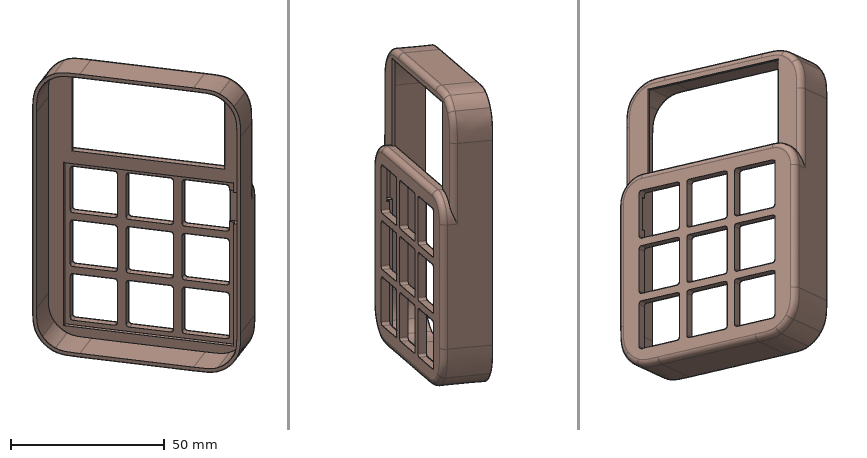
import cadquery as cq
import math


width = 70.6
height = 100.0
wall = 1.3
body_depth = 14.1
total_depth = 17.5
front_skin = 1.0
floor_y = body_depth - front_skin
edge_fillet = 2.0

corner_radius = 12.0
top_blend_length = 16.0
side_blend_length = 15.3
top_arc_angle = math.radians(23.6)
side_arc_angle = math.radians(36.0)
blend_handle = 0.72

window_width = 51.8
window_height = 29.6
window_bottom = 16.7

raised_top = window_bottom
raised_corner_radius = 9.3

keypad_z = -16.6
recess_size = 57.6
recess_depth = 1.5
key_count = 3
key_pitch = 19.0
key_width = 16.0
key_height = 16.4
key_corner_radius = 1.0

notch_right = 31.2
notch_top = 8.9
notch_height = 11.1
notch_depth = 2.5


def block(x_min, x_max, y_min, y_max, z_min, z_max):
    """Axis-aligned box given by its limits."""
    size = (x_max - x_min, y_max - y_min, z_max - z_min)
    return cq.Workplane("XY").box(*size, centered=False).translate((x_min, y_min, z_min))


def corner_edges(sign_x, sign_z, offset):
    """Edges of one smoothed corner, from the horizontal to the vertical side."""

    def point(inset_x, inset_z):
        return cq.Vector(sign_x * (width / 2 - inset_x), 0, sign_z * (height / 2 - inset_z))

    def on_arc(angle):
        radius = corner_radius - offset
        return (
            corner_radius - radius * math.sin(angle),
            corner_radius - radius * math.cos(angle),
        )

    arc_end_angle = math.pi / 2 - side_arc_angle
    start = on_arc(top_arc_angle)
    middle = on_arc((top_arc_angle + arc_end_angle) / 2)
    end = on_arc(arc_end_angle)
    top_tangent = start[0] + (start[1] - offset) / math.tan(top_arc_angle)
    side_tangent = end[1] + (end[0] - offset) / math.tan(side_arc_angle)

    top_blend = cq.Edge.makeBezier([
        point(top_blend_length, offset),
        point(top_blend_length * blend_handle, offset),
        point(top_tangent, offset),
        point(*start),
    ])
    arc = cq.Edge.makeThreePointArc(point(*start), point(*middle), point(*end))
    side_blend = cq.Edge.makeBezier([
        point(*end),
        point(offset, side_tangent),
        point(offset, side_blend_length * blend_handle),
        point(offset, side_blend_length),
    ])
    return [top_blend, arc, side_blend]


def outline_prism(depth, offset=0):
    """Prism from Y = 0 to the given depth, its outline moved inwards by the offset."""
    flat_x = width / 2 - top_blend_length
    flat_z = height / 2 - side_blend_length
    side_x = width / 2 - offset
    side_z = height / 2 - offset
    edges = []
    for sign in (-1, 1):
        edges.append(cq.Edge.makeLine(cq.Vector(-flat_x, 0, sign * side_z),
                                      cq.Vector(flat_x, 0, sign * side_z)))
        edges.append(cq.Edge.makeLine(cq.Vector(sign * side_x, 0, -flat_z),
                                      cq.Vector(sign * side_x, 0, flat_z)))
        for sign_z in (-1, 1):
            edges += corner_edges(sign, sign_z, offset)
    wire = cq.Wire.combine(edges)[0]
    return cq.Workplane(cq.Solid.extrudeLinear(wire, [], cq.Vector(0, depth, 0)))


upper_half = block(-width / 2, width / 2, 0, body_depth, 0, height / 2)
upper_body = outline_prism(body_depth).faces(">Y").edges().fillet(edge_fillet)
upper_body = upper_body.intersect(upper_half)

raised_limit = block(-width / 2, width / 2, 0, total_depth, -height / 2, raised_top)
raised_limit = raised_limit.edges("|Y and >Z").fillet(raised_corner_radius)
raised = outline_prism(total_depth).intersect(raised_limit)
raised = raised.faces(">Y").edges().fillet(edge_fillet)

cavity = outline_prism(floor_y, wall)

window = block(-window_width / 2, window_width / 2, 0, total_depth,
               window_bottom, window_bottom + window_height)

recess = block(-recess_size / 2, recess_size / 2, 0, floor_y + recess_depth,
               keypad_z - recess_size / 2, keypad_z + recess_size / 2)

keys = (
    cq.Workplane("XZ", origin=(0, 0, keypad_z))
    .rarray(key_pitch, key_pitch, key_count, key_count)
    .rect(key_width, key_height)
    .extrude(-total_depth)
    .edges("|Y")
    .fillet(key_corner_radius)
)

notch_left = key_pitch + key_width / 2 - key_corner_radius
notch = block(notch_left, notch_right, 0, floor_y + notch_depth,
              notch_top - notch_height, notch_top)

result = upper_body.union(raised)
for cutter in (cavity, window, recess, keys, notch):
    result = result.cut(cutter)